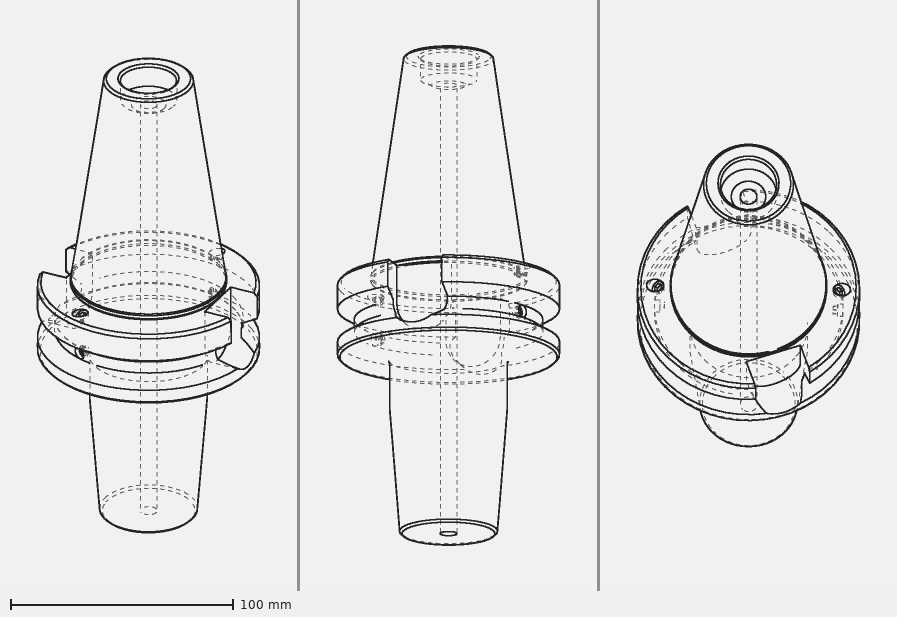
import cadquery as cq
import math

TOTAL_LENGTH = 221.8
TAPER_LENGTH = 101.8
FLANGE_BOTTOM = 82.0
FLANGE_THICKNESS = 35.0
FLANGE_TOP = FLANGE_BOTTOM + FLANGE_THICKNESS
GAUGE_PLANE = TOTAL_LENGTH - TAPER_LENGTH

GAUGE_RADIUS = 69.9 / 2
TAPER_RATE = 7 / 24
SMALL_END_RADIUS = GAUGE_RADIUS - TAPER_LENGTH * TAPER_RATE / 2
SMALL_END_CHAMFER = 1.0

COLLAR_RADIUS = 35.3
COLLAR_CHAMFER_HEIGHT = 0.7

FLANGE_RADIUS = 100.0 / 2
FLANGE_TOP_CHAMFER = 1.5
FLANGE_BOTTOM_CHAMFER = 1.0
GROOVE_CENTRE = 96.7
GROOVE_FLOOR_RADIUS = 85.0 / 2
GROOVE_FLOOR_WIDTH = 6.5
GROOVE_WALL_ANGLE = 30
GROOVE_FILLET = 0.7
GROOVE_FLOOR_TOP = GROOVE_CENTRE + GROOVE_FLOOR_WIDTH / 2
GROOVE_FLOOR_BOTTOM = GROOVE_CENTRE - GROOVE_FLOOR_WIDTH / 2
GROOVE_WALL_HEIGHT = (FLANGE_RADIUS - GROOVE_FLOOR_RADIUS) * math.tan(math.radians(GROOVE_WALL_ANGLE))

NOSE_RADIUS = 53.0 / 2
NOSE_FILLET = 3.0
NOSE_CONE_LENGTH = 57.5
NOSE_CONE_ANGLE = 4.5
NOSE_END_RADIUS = NOSE_RADIUS - NOSE_CONE_LENGTH * math.tan(math.radians(NOSE_CONE_ANGLE))
NOSE_CHAMFER = 1.0
NOSE_CHAMFER_RADIUS = NOSE_END_RADIUS + NOSE_CHAMFER * math.tan(math.radians(NOSE_CONE_ANGLE))

BORE_RADIUS = 25.3 / 2
BORE_CHAMFER = 1.0
BORE_DEPTH = 10.9
BORE_STEP_RADIUS = 20.8 / 2
BORE_STEP_HEIGHT = 0.7
BORE_FLOOR_RADIUS = 15.5 / 2
BORE_CONE_HEIGHT = 1.8
THROUGH_RADIUS = 7.5 / 2

SLOT_WIDTH = 25.7
SLOT_FLOOR_DISTANCE = 35.0
SLOT_BOTTOM = 86.3

OUTLET_DIRECTION = 70
FACE_OUTLET_RADIUS = 6.2 / 2
GROOVE_OUTLET_RADIUS = 5.5 / 2
OUTLET_DEPTH = 2.5
SOCKET_SIDES = 6
SOCKET_ACROSS_CORNERS = 4.0
SOCKET_DEPTH = 2.0
FACE_OUTLET_DISTANCE = 42.1
FACE_OUTLET_TILT = 35
GROOVE_OUTLET_TILT = 90


def turned_body():
    return (
        cq.Workplane("XZ")
        .moveTo(0, 0)
        .lineTo(NOSE_END_RADIUS - NOSE_CHAMFER, 0)
        .lineTo(NOSE_CHAMFER_RADIUS, NOSE_CHAMFER)
        .lineTo(NOSE_RADIUS, NOSE_CONE_LENGTH)
        .lineTo(NOSE_RADIUS, FLANGE_BOTTOM - NOSE_FILLET)
        .radiusArc((NOSE_RADIUS + NOSE_FILLET, FLANGE_BOTTOM), NOSE_FILLET)
        .lineTo(FLANGE_RADIUS - FLANGE_BOTTOM_CHAMFER, FLANGE_BOTTOM)
        .lineTo(FLANGE_RADIUS, FLANGE_BOTTOM + FLANGE_BOTTOM_CHAMFER)
        .lineTo(FLANGE_RADIUS, GROOVE_FLOOR_BOTTOM - GROOVE_WALL_HEIGHT)
        .lineTo(GROOVE_FLOOR_RADIUS, GROOVE_FLOOR_BOTTOM)
        .lineTo(GROOVE_FLOOR_RADIUS, GROOVE_FLOOR_TOP)
        .lineTo(FLANGE_RADIUS, GROOVE_FLOOR_TOP + GROOVE_WALL_HEIGHT)
        .lineTo(FLANGE_RADIUS, FLANGE_TOP - FLANGE_TOP_CHAMFER)
        .lineTo(FLANGE_RADIUS - FLANGE_TOP_CHAMFER, FLANGE_TOP)
        .lineTo(GAUGE_RADIUS, FLANGE_TOP)
        .lineTo(COLLAR_RADIUS, FLANGE_TOP + COLLAR_CHAMFER_HEIGHT)
        .lineTo(COLLAR_RADIUS, GAUGE_PLANE - COLLAR_CHAMFER_HEIGHT)
        .lineTo(GAUGE_RADIUS, GAUGE_PLANE)
        .lineTo(SMALL_END_RADIUS + SMALL_END_CHAMFER * TAPER_RATE / 2, TOTAL_LENGTH - SMALL_END_CHAMFER)
        .lineTo(SMALL_END_RADIUS - SMALL_END_CHAMFER, TOTAL_LENGTH)
        .lineTo(0, TOTAL_LENGTH)
        .close()
        .revolve(360, (0, 0, 0), (0, 1, 0))
    )


def stepped_bore():
    step_top = TOTAL_LENGTH - BORE_DEPTH
    cone_top = step_top - BORE_STEP_HEIGHT
    floor = cone_top - BORE_CONE_HEIGHT
    return (
        cq.Workplane("XZ")
        .moveTo(0, 0)
        .lineTo(THROUGH_RADIUS, 0)
        .lineTo(THROUGH_RADIUS, floor)
        .lineTo(BORE_FLOOR_RADIUS, floor)
        .lineTo(BORE_STEP_RADIUS, cone_top)
        .lineTo(BORE_RADIUS, step_top)
        .lineTo(BORE_RADIUS, TOTAL_LENGTH - BORE_CHAMFER)
        .lineTo(BORE_RADIUS + BORE_CHAMFER, TOTAL_LENGTH)
        .lineTo(0, TOTAL_LENGTH)
        .close()
        .revolve(360, (0, 0, 0), (0, 1, 0))
    )


def drive_slot():
    """Round-bottomed slot on the +X side, open at the rim and at the flange face."""
    half_width = SLOT_WIDTH / 2
    arc_centre = SLOT_BOTTOM + half_width
    return (
        cq.Workplane("YZ", origin=(SLOT_FLOOR_DISTANCE, 0, 0))
        .moveTo(-half_width, FLANGE_TOP)
        .lineTo(-half_width, arc_centre)
        .threePointArc((0, SLOT_BOTTOM), (half_width, arc_centre))
        .lineTo(half_width, FLANGE_TOP)
        .close()
        .extrude(FLANGE_RADIUS)
    )


def outlet(radius, distance, height, tilt):
    """Blind hole with a hexagon socket in its floor, sloping towards the axis as it goes down.

    The tilt is in degrees from vertical; 90 gives a radial hole.
    """
    angle = math.radians(tilt)
    outward = cq.Vector(math.sin(angle), 0, math.cos(angle))
    mouth = cq.Vector(distance, 0, height)
    plane = cq.Plane(origin=mouth.toTuple(), xDir=(0, 1, 0), normal=outward.toTuple())
    hole = (
        cq.Workplane(plane)
        .workplane(offset=-OUTLET_DEPTH)
        .circle(radius)
        .extrude(2 * OUTLET_DEPTH)
    )
    socket = (
        cq.Workplane(plane)
        .workplane(offset=-OUTLET_DEPTH - SOCKET_DEPTH)
        .polygon(SOCKET_SIDES, SOCKET_ACROSS_CORNERS)
        .extrude(SOCKET_DEPTH)
    )
    return hole.union(socket).rotate((0, 0, 0), (0, 0, 1), OUTLET_DIRECTION)


def round_groove_corners(body):
    corners = body.edges("%CIRCLE").filter(lambda edge: math.isclose(edge.radius(), GROOVE_FLOOR_RADIUS))
    return corners.fillet(GROOVE_FILLET)


result = round_groove_corners(turned_body()).cut(stepped_bore())
face_outlet = outlet(FACE_OUTLET_RADIUS, FACE_OUTLET_DISTANCE, FLANGE_TOP, FACE_OUTLET_TILT)
groove_outlet = outlet(GROOVE_OUTLET_RADIUS, GROOVE_FLOOR_RADIUS, GROOVE_CENTRE, GROOVE_OUTLET_TILT)
cutters = (drive_slot(), face_outlet, groove_outlet)

for side in (0, 180):
    for cutter in cutters:
        result = result.cut(cutter.rotate((0, 0, 0), (0, 0, 1), side))